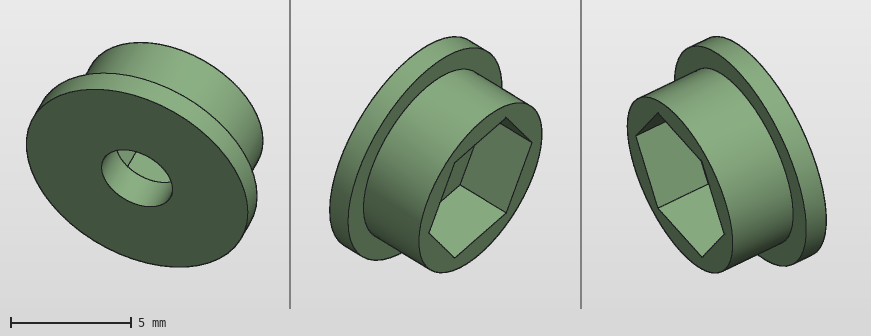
import cadquery as cq
import math

flange_diameter = 10
flange_thickness = 1
body_diameter = 8
overall_length = 4
bore_diameter = 3.2

nut_across_flats = 5.8
nut_across_corners = nut_across_flats / math.cos(math.pi / 6)
pocket_floor = 1.5


def cylinder_along_y(diameter, length):
    """Solid cylinder about the Y axis, from y = 0 to y = length."""
    return cq.Workplane("XZ").circle(diameter / 2).extrude(-length)


flange = cylinder_along_y(flange_diameter, flange_thickness)
body = cylinder_along_y(body_diameter, overall_length)
bore = cylinder_along_y(bore_diameter, overall_length)

nut_pocket = (
    cq.Workplane("XZ", origin=(0, pocket_floor, 0))
    .polygon(6, nut_across_corners)
    .extrude(pocket_floor - overall_length)
)

result = flange.union(body).cut(bore).cut(nut_pocket)